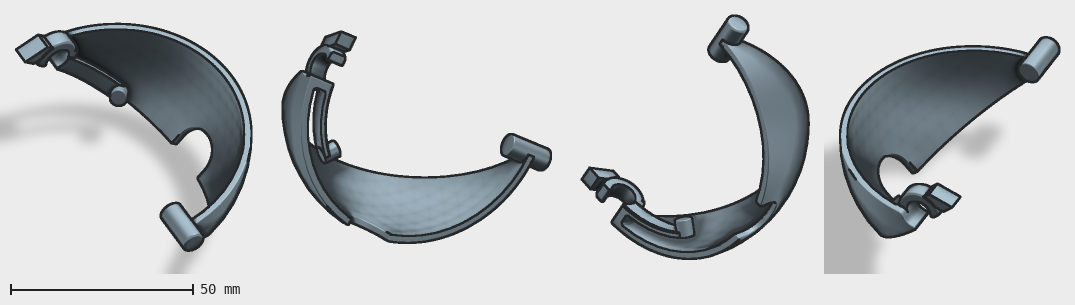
import cadquery as cq
import math

TIP_ANGLE = 45.0
RIM_DROP = 0.25
RIM_RISE = 2.0
OUTER_RADIUS = 37.8
WALL = 2.0
INNER_RADIUS = OUTER_RADIUS - WALL
FACE_HEIGHT = -3.3
EDGE_ROUND = 0.3

NOTCH_RADIUS = 6.7
NOTCH_X = 0.3

PIN_RADIUS = 3.2
PIN_START = 30.1
PIN_END = 43.1
PIN_END_ROUND = 0.8

SEAT_RADIUS = 3.6
KNUCKLE_RADIUS = 6.4
KNUCKLE_INNER_X = -30.0
HOOK_WIDTH = 5.0
HOOK_ROUND = 0.8
SEAT_RIM_ROUND = 2.0
SEAT_FACE_ROUND = 0.65
SEAT_LIP_Y = math.sqrt(SEAT_RADIUS**2 - FACE_HEIGHT**2)

TAB_THICKNESS = 3.3
TAB_DROOP = 15.0
TAB_TIP_Y = -10.3
TAB_TIP_Z = 5.9
TAB_LENGTH = 7.4
TAB_ROOT_RADIUS = KNUCKLE_RADIUS - 0.25

ARM_INNER_RADIUS = -KNUCKLE_INNER_X
ARM_THICKNESS = 1.6
ARM_OUTER_RADIUS = ARM_INNER_RADIUS + ARM_THICKNESS
ARM_END_ANGLE = math.radians(45.0)
CATCH_RADIUS = 2.4
CATCH_TIP_RADIUS = 26.8
CATCH_HEIGHT = -0.8
ARM_TOP = CATCH_HEIGHT + CATCH_RADIUS
SLOT_CORNER_ROUND = 0.8

REACH = 2 * OUTER_RADIUS


def cylinder_x(radius, x_start, x_end):
    """Solid cylinder on the hinge axis."""
    return cq.Workplane("YZ", origin=(x_start, 0, 0)).circle(radius).extrude(x_end - x_start)


def space_above_face():
    return cq.Workplane("XY", origin=(0, 0, FACE_HEIGHT)).rect(REACH * 2, REACH * 2).extrude(REACH)


def tipped(solid, angle):
    return solid.rotate((0, 0, 0), (1, 0, 0), angle)


def ball(radius):
    """Solid ball with its seam turned to the open side of the segment."""
    return cq.Workplane("XY").sphere(radius).rotate((0, 0, 0), (0, 0, 1), -90)


def rim_height(y):
    """Height of the rim plane at a distance y from the hinge axis."""
    angle = math.radians(TIP_ANGLE + RIM_RISE)
    return y * math.tan(angle) - RIM_DROP / math.cos(angle)


def wedge(x_start, x_end):
    """Space between the lower face and the rim plane, beyond the hinge axis."""
    return (
        cq.Workplane("YZ", origin=(x_start, 0, 0))
        .moveTo(0, rim_height(0))
        .lineTo(0, FACE_HEIGHT)
        .lineTo(REACH, FACE_HEIGHT)
        .lineTo(REACH, rim_height(REACH))
        .close()
        .extrude(x_end - x_start)
    )


def seated_wedge():
    """The -X half of the wedge, with a rounded-over seat along the hinge axis."""
    space = wedge(-REACH, 0).cut(cylinder_x(SEAT_RADIUS, -REACH, 0))
    rim_angle = math.radians(TIP_ANGLE + RIM_RISE)
    rim_edge = (-REACH / 2, SEAT_RADIUS * math.cos(rim_angle), SEAT_RADIUS * math.sin(rim_angle))
    space = space.edges(cq.NearestToPointSelector(rim_edge)).fillet(SEAT_RIM_ROUND)
    face_edge = (-REACH / 2, SEAT_LIP_Y, FACE_HEIGHT)
    return space.edges(cq.NearestToPointSelector(face_edge)).fillet(SEAT_FACE_ROUND)


def make_shell(space):
    notch = cq.Workplane("XZ", origin=(NOTCH_X, 0, 0)).circle(NOTCH_RADIUS).extrude(-REACH)
    notch_mouth = cq.Workplane("XZ", origin=(NOTCH_X, 0, FACE_HEIGHT))
    notch_mouth = notch_mouth.rect(2 * NOTCH_RADIUS, -2 * FACE_HEIGHT).extrude(-REACH)
    shell = ball(OUTER_RADIUS).cut(ball(INNER_RADIUS)).intersect(space)
    return shell.cut(notch.union(notch_mouth))


def make_knuckle(left_space):
    """Block below the seat, joining the shell, the hook and the arm."""
    block = cylinder_x(KNUCKLE_RADIUS, -OUTER_RADIUS, KNUCKLE_INNER_X)
    return block.intersect(left_space).intersect(ball(OUTER_RADIUS))


def make_hook():
    outer_x = KNUCKLE_INNER_X - HOOK_WIDTH
    ring = cylinder_x(KNUCKLE_RADIUS, outer_x, KNUCKLE_INNER_X)
    ring = ring.edges().fillet(HOOK_ROUND)
    ring = ring.cut(cylinder_x(SEAT_RADIUS, outer_x, KNUCKLE_INNER_X))
    ring = ring.intersect(space_above_face())
    for side in (-1, 1):
        lip = (outer_x + HOOK_WIDTH / 2, side * SEAT_LIP_Y, FACE_HEIGHT)
        ring = ring.edges(cq.NearestToPointSelector(lip)).fillet(SEAT_FACE_ROUND)
    return ring


def make_tab():
    """Parallelogram lug, laid out in the tipped position and turned back."""
    droop = math.radians(TAB_DROOP)
    along = (TAB_LENGTH * math.cos(droop), TAB_LENGTH * math.sin(droop))
    end_length = TAB_THICKNESS / math.sin(math.radians(TIP_ANGLE) + droop)
    end_run = end_length * math.cos(math.radians(TIP_ANGLE))
    end_rise = end_length * math.sin(math.radians(TIP_ANGLE))
    lug = (
        cq.Workplane("YZ", origin=(KNUCKLE_INNER_X - HOOK_WIDTH, 0, 0))
        .moveTo(TAB_TIP_Y, TAB_TIP_Z)
        .lineTo(TAB_TIP_Y + along[0], TAB_TIP_Z + along[1])
        .lineTo(TAB_TIP_Y + along[0] + end_run, TAB_TIP_Z + along[1] - end_rise)
        .lineTo(TAB_TIP_Y + end_run, TAB_TIP_Z - end_rise)
        .close()
        .extrude(HOOK_WIDTH)
    )
    return tipped(lug, TIP_ANGLE).cut(cylinder_x(TAB_ROOT_RADIUS, -REACH, 0))


def arm_point(radius, angle, height):
    """Point on the arm at an angle measured from the -X direction."""
    return (-radius * math.cos(angle), radius * math.sin(angle), height)


def make_arm(left_space):
    """Curved strip running from the knuckle along the inside of the shell."""
    strip = (
        cq.Workplane("XY", origin=(0, 0, FACE_HEIGHT))
        .circle(ARM_OUTER_RADIUS)
        .circle(ARM_INNER_RADIUS)
        .extrude(ARM_TOP - FACE_HEIGHT)
    )
    strip = strip.edges(cq.selectors.RadiusNthSelector(0)).fillet(EDGE_ROUND)
    end_x, end_y, _ = arm_point(REACH, ARM_END_ANGLE, 0)
    sector = (
        cq.Workplane("XY", origin=(0, 0, FACE_HEIGHT))
        .polyline([(0, 0), (end_x, end_y), (end_x - REACH, 0)])
        .close()
        .extrude(REACH)
    )
    return strip.intersect(sector).intersect(left_space)


def make_catch():
    """Pin at the free end of the arm, pointing at the shell centre."""
    root = arm_point(ARM_OUTER_RADIUS, ARM_END_ANGLE, CATCH_HEIGHT)
    inward = arm_point(-1, ARM_END_ANGLE, 0)
    plane = cq.Plane(origin=root, xDir=(0, 0, 1), normal=inward)
    catch = cq.Workplane(plane).circle(CATCH_RADIUS).extrude(ARM_OUTER_RADIUS - CATCH_TIP_RADIUS)
    tip = arm_point(CATCH_TIP_RADIUS, ARM_END_ANGLE, CATCH_HEIGHT)
    return catch.faces(cq.NearestToPointSelector(tip)).edges().fillet(EDGE_ROUND)


def make_pin():
    pin = cylinder_x(PIN_RADIUS, PIN_START, PIN_END)
    return pin.faces(">X").edges().fillet(PIN_END_ROUND).faces("<X").edges().fillet(EDGE_ROUND)


def rounded(body, radius, places):
    """Round the edges (and those running smoothly on from them) nearest to the places."""
    edges = [body.edges(cq.NearestToPointSelector(place)).val() for place in places]
    return body.newObject(edges).fillet(radius)


def make_frame():
    """Shell, knuckle and arm as one body with its slot corners and outer edges rounded."""
    left_space = seated_wedge()
    frame = make_shell(left_space.union(wedge(0, REACH)))
    frame = frame.union(make_knuckle(left_space)).union(make_arm(left_space))

    for slot_side in (INNER_RADIUS, ARM_OUTER_RADIUS):
        corner = (-math.sqrt(slot_side**2 - KNUCKLE_RADIUS**2), KNUCKLE_RADIUS, 0)
        frame = rounded(frame, SLOT_CORNER_ROUND, [corner])

    places = []
    for radius in (OUTER_RADIUS, INNER_RADIUS):
        rim_y = radius * math.cos(math.radians(TIP_ANGLE + RIM_RISE))
        places.append((0, rim_y, rim_height(rim_y)))
        face_reach = radius * math.sqrt(0.5)
        places.append((-face_reach, face_reach, FACE_HEIGHT))
        places.append((face_reach, face_reach, FACE_HEIGHT))
        places.append((NOTCH_X, radius, NOTCH_RADIUS))
    for side in (-1, 1):
        places.append((NOTCH_X + side * NOTCH_RADIUS, INNER_RADIUS, FACE_HEIGHT))
    places.append((-OUTER_RADIUS, SEAT_RADIUS, 0))
    places.append(arm_point(ARM_OUTER_RADIUS, ARM_END_ANGLE / 2, ARM_TOP))
    return rounded(frame, EDGE_ROUND, places)


body = make_frame().union(make_catch())
for feature in (make_hook(), make_tab(), make_pin()):
    body = body.union(feature)
result = tipped(body, -TIP_ANGLE)